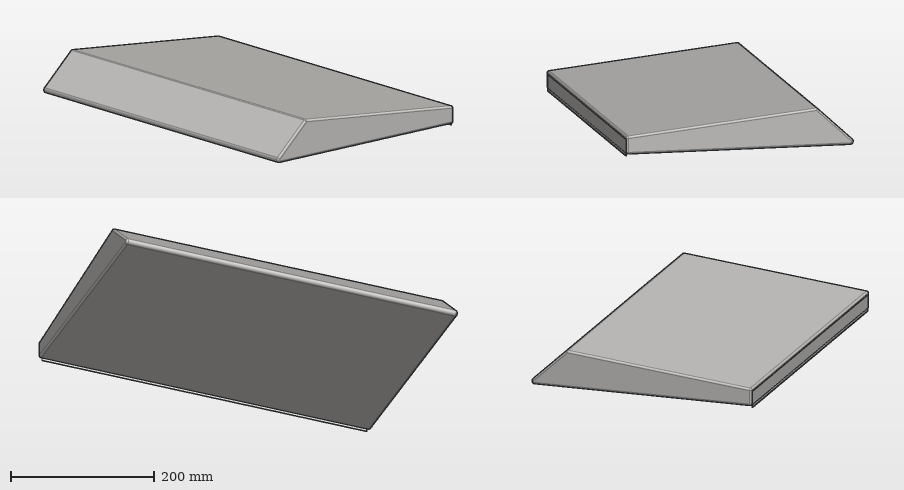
import cadquery as cq
import math

WIDTH = 500.0
DEPTH = 325.5
HEIGHT = 57.0

EDGE_RADIUS = 3.0
NOSE_RADIUS = 4.5
TOP_SLOPE = 6.0
FRONT_SLOPE = 42.5

PLATE_INSET = 5.0
PLATE_THICKNESS = 1.0
PLATE_DROP = 3.0

front_y = -DEPTH / 2
back_y = DEPTH / 2
housing_bottom = PLATE_DROP

nose_reach = (NOSE_RADIUS - EDGE_RADIUS) / math.tan(math.radians(FRONT_SLOPE / 2))
nose_y = front_y + NOSE_RADIUS - nose_reach
heel_y = back_y - EDGE_RADIUS
low_z = housing_bottom + EDGE_RADIUS
ridge_z = HEIGHT - EDGE_RADIUS
ridge_y = nose_y + (ridge_z - low_z) / math.tan(math.radians(FRONT_SLOPE))
heel_z = ridge_z - (heel_y - ridge_y) * math.tan(math.radians(TOP_SLOPE))


def make_plate():
    """Flat upright plate that stands on z = 0 along the back."""
    plate_height = heel_z + EDGE_RADIUS - PLATE_INSET
    return (
        cq.Workplane("XY")
        .box(WIDTH - 2 * PLATE_INSET, PLATE_THICKNESS, plate_height, centered=(True, False, False))
        .translate((0, back_y - PLATE_THICKNESS, 0))
    )


def make_housing():
    """Wedge swept along the width, rounded on every edge and recessed for the plate."""
    wedge = (
        cq.Workplane("YZ")
        .polyline([(nose_y, low_z), (heel_y, low_z), (heel_y, heel_z), (ridge_y, ridge_z)])
        .close()
        .offset2D(EDGE_RADIUS, "intersection")
        .extrude(WIDTH / 2, both=True)
    )
    rounded_nose = wedge.edges("<Y").fillet(NOSE_RADIUS)
    side_ridge_and_back_edges = rounded_nose.edges("<X or >X or >Y or >Z")
    return side_ridge_and_back_edges.fillet(EDGE_RADIUS).cut(make_plate())


housing = make_housing()
plate = make_plate()

result = cq.Compound.makeCompound([housing.val(), plate.val()])